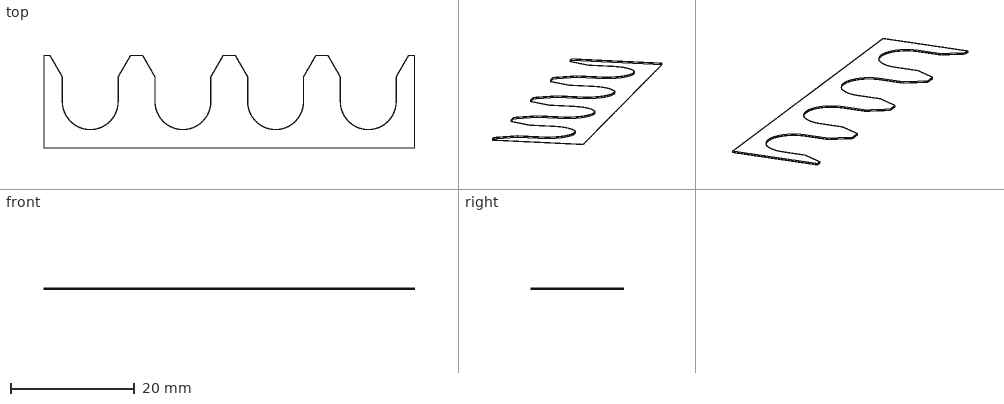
import cadquery as cq
import math

length = 60.0
depth = 15.0
thickness = 0.25

slot_count = 4
pitch = length / slot_count
slot_width = 9.0
slot_radius = slot_width / 2
spine_depth = 3.0
arc_center_y = spine_depth + slot_radius

tip_width = 2.0
flare_angle = 60.0
mouth_half_width = (pitch - tip_width) / 2
flare_height = (mouth_half_width - slot_radius) * math.tan(math.radians(flare_angle))
flare_start_y = depth - flare_height


def slot_cutter(center_x):
    """Round-bottomed slot with a flared mouth at the back edge."""
    left = center_x - slot_radius
    right = center_x + slot_radius
    return (
        cq.Workplane("XY")
        .moveTo(center_x - mouth_half_width, depth)
        .lineTo(left, flare_start_y)
        .lineTo(left, arc_center_y)
        .threePointArc((center_x, spine_depth), (right, arc_center_y))
        .lineTo(right, flare_start_y)
        .lineTo(center_x + mouth_half_width, depth)
        .close()
        .extrude(thickness)
    )


result = cq.Workplane("XY").box(length, depth, thickness, centered=False)
for index in range(slot_count):
    result = result.cut(slot_cutter((index + 0.5) * pitch))